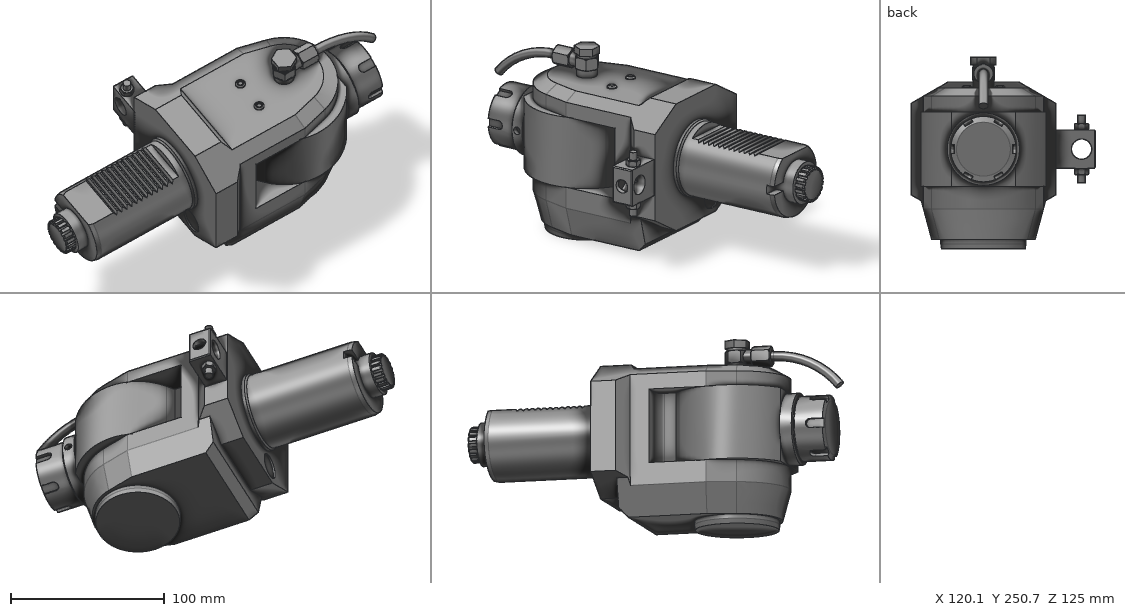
import cadquery as cq
import math


overall_length = 250.7

flange_half_width = 47.1
flange_half_height = 43.9
flange_flat_half_width = 22.8
bevel_angle = 30.0
flange_thickness = 16.5
flange_flare_end = 24.8
flange_top_thickness = 20.5
plug_x = 18.5
plug_z = -32.0
plug_radius = 8.5
plug_recess = 1.3

body_half_width = 39.0
body_top = 39.9
body_bottom = -59.0
head_y = 86.0
head_radius = 35.0
head_taper = 15.0
lower_taper = 15.0
lower_start = -38.9
lower_rear = 15.8
lower_rear_chamfer = 6.0
strip_top = -33.3

band_radius = 40.9
band_half_height = 24.3
band_end_angle = 52.0
pocket_rear = 37.0
pocket_floor_end = 50.1
pocket_fillet = 5.5

cover_radius = 27.8
cover_bottom = -65.0
cover_chamfer_height = 3.3
cover_chamfer_width = 0.5

shank_radius = 25.0
shank_length = 78.5
shank_chamfer_length = 3.0
shank_chamfer_depth = 0.8
rim_radius = 26.0
rim_length = 3.5
rim_chamfer = 1.3
flat_height = 19.5
flat_start = 8.0
tooth_count = 12
tooth_pitch = 4.0
tooth_first = 14.0
tooth_depth = 1.5
tooth_half_width = 1.5
key_width = 6.0
key_depth = 5.5
boss_radius = 14.3
boss_length = 7.8
spline_radius = 11.8
spline_length = 6.8
spline_count = 18
spline_depth = 1.8
spline_gap = 1.8
spline_chamfer = 0.8

ring_radius = 23.5
ring_length = 8.0
ring_hole_radius = 2.5
ring_hole_depth = 3.8
neck_radius = 19.8
neck_length = 1.3
nut_radius = 21.3
nut_length = 20.0
nut_chamfer_length = 1.0
nut_chamfer_depth = 3.8
nut_slot_count = 6
nut_slot_width = 6.0
nut_slot_length = 12.3
nut_slot_depth = 2.5

hexagon_chamfer = 0.8

fitting_radius = 6.8
cap_top = 60.0
cap_height = 5.0
cap_corner_radius = 8.3
block_bottom = 44.9
block_height = 8.3
hose_z = 49.1
stem_radius = 5.0
hose_nut_start = 96.8
hose_nut_length = 12.5
hose_nut_corner_radius = 7.0
hose_radius = 3.0
hose_lead = 2.0
hose_bend_angle = 51.0

screw_x = 10.8
screw_y = 59.0
screw_radius = 3.3
screw_height = 1.5
screw_chamfer = 1.0
screw_socket_radius = 1.8
screw_socket_depth = 1.3

clamp_outer_x = -73.0
clamp_half_height = 12.5
clamp_rear = 0.8
clamp_front = 16.0
clamp_chamfer = 0.8
clamp_bore_x = -64.0
clamp_bore_radius = 6.5
clamp_port_y = 8.5
clamp_port_radius = 4.5
clamp_pin_hole_radius = 1.8
clamp_pin_hole_depth = 2.5
stud_y = 5.8
stud_radius = 2.5
stud_tip = 22.0
stud_nut_height = 4.3
stud_nut_corner_radius = 4.8

flange_bevel = (flange_half_width - flange_flat_half_width) * math.tan(math.radians(bevel_angle))
flange_shoulder = flange_half_height - flange_bevel
bevel_start = flange_shoulder + (flange_half_width - body_half_width) * math.tan(math.radians(bevel_angle))
head_front = head_y + head_radius
hose_end = overall_length - shank_length - boss_length - spline_length
nut_front = head_front + ring_length + neck_length + nut_length


def along_y(radius, start, length):
    """Cylinder on the main axis, running from start toward +Y (toward -Y when length is negative)."""
    return cq.Workplane("XZ", origin=(0, start, 0)).circle(radius).extrude(-length)


def box(x_range, y_range, z_range):
    """Axis-aligned block between (low, high) limits along X, Y and Z."""
    size = [high - low for low, high in (x_range, y_range, z_range)]
    return cq.Workplane("XY").box(*size, centered=False).translate((x_range[0], y_range[0], z_range[0]))


def hexagon(workplane, corner_radius, length):
    """Hexagonal prism with two corners on the local X axis of the workplane."""
    return workplane.polygon(6, 2 * corner_radius).extrude(length)


def chamfered_hexagon(workplane, corner_radius, length):
    """Hexagonal prism whose corners are turned off conically at both ends, as on a nut."""
    turned = workplane.circle(corner_radius).extrude(length).edges().chamfer(hexagon_chamfer)
    return hexagon(workplane, corner_radius, length).intersect(turned)


def flare_limit():
    """Plan outline that narrows from the flange to the housing at 45 degrees."""
    points = [
        (flange_half_width, 0),
        (flange_half_width, flange_flare_end - (flange_half_width - body_half_width)),
        (body_half_width, flange_flare_end),
    ]
    mirrored = [(-x, y) for x, y in reversed(points)]
    height = 2 * abs(body_bottom)
    return cq.Workplane("XY", origin=(0, 0, body_bottom)).polyline(points + mirrored).close().extrude(height)


def make_flange():
    outline = [
        (flange_half_width, -flange_shoulder),
        (flange_half_width, flange_shoulder),
        (flange_flat_half_width, flange_half_height),
        (-flange_flat_half_width, flange_half_height),
        (-flange_half_width, flange_shoulder),
        (-flange_half_width, -flange_shoulder),
        (-flange_flat_half_width, -flange_half_height),
        (flange_flat_half_width, -flange_half_height),
    ]
    flange = cq.Workplane("XZ").polyline(outline).close().extrude(-flange_flare_end)
    top_drop = flange_half_height - body_top
    top_profile = [
        (0, -flange_half_height),
        (0, flange_half_height),
        (flange_top_thickness, flange_half_height),
        (flange_top_thickness + top_drop, body_top),
        (flange_top_thickness + top_drop, -flange_half_height),
    ]
    top_limit = cq.Workplane("YZ").polyline(top_profile).close().extrude(flange_half_width, both=True)
    plug = along_y(plug_radius, 0, plug_recess).translate((plug_x, 0, plug_z))
    return flange.intersect(flare_limit()).intersect(top_limit).cut(plug)


def body_outline(workplane):
    """Plan outline of the housing: straight sides, 15 degree cheeks and a round head tangent to them."""
    taper = math.radians(head_taper)
    tangent_x = head_radius * math.cos(taper)
    tangent_y = head_y + head_radius * math.sin(taper)
    cheek_y = tangent_y - (body_half_width - tangent_x) / math.tan(taper)
    overrun = -flange_thickness
    return (
        workplane.moveTo(body_half_width, overrun)
        .lineTo(body_half_width, cheek_y)
        .lineTo(tangent_x, tangent_y)
        .threePointArc((0, head_front), (-tangent_x, tangent_y))
        .lineTo(-body_half_width, cheek_y)
        .lineTo(-body_half_width, overrun)
        .close()
    )


def make_body():
    middle = body_outline(cq.Workplane("XY", origin=(0, 0, lower_start))).extrude(bevel_start - lower_start)
    top = body_outline(cq.Workplane("XY", origin=(0, 0, bevel_start))).extrude(
        body_top - bevel_start, taper=90 - bevel_angle
    )
    facing_down = cq.Workplane("XY", origin=(0, 0, lower_start)).transformed(rotate=(0, 180, 0))
    bottom = body_outline(facing_down).extrude(lower_start - body_bottom, taper=lower_taper)
    body = middle.union(top).union(bottom)

    slope = math.tan(math.radians(lower_taper))
    strip_half_top = body_half_width + (strip_top - lower_start) * slope
    strip_half_bottom = body_half_width - (lower_start - body_bottom) * slope
    strip_outline = [
        (strip_half_top, strip_top),
        (-strip_half_top, strip_top),
        (-strip_half_bottom, body_bottom),
        (strip_half_bottom, body_bottom),
    ]
    strip = cq.Workplane("XZ").polyline(strip_outline).close().extrude(-flange_flare_end)
    body = body.union(strip.intersect(flare_limit()))

    side_profile = [
        (lower_rear, body_top),
        (lower_rear, body_bottom + lower_rear_chamfer),
        (lower_rear + lower_rear_chamfer, body_bottom),
        (head_front, body_bottom),
        (head_front, body_top),
    ]
    return body.intersect(
        cq.Workplane("YZ").polyline(side_profile).close().extrude(flange_half_width, both=True)
    )


def make_side_pocket():
    """Space behind the drum band on the +X side, scooped out of the side wall."""
    angle = math.radians(band_end_angle)
    outside = band_radius + pocket_fillet
    band_end_x = band_radius * math.cos(angle)
    band_end_y = head_y - band_radius * math.sin(angle)
    floor_x = band_end_x - (band_end_y - pocket_floor_end) * math.tan(angle)
    return (
        cq.Workplane("XY", origin=(0, 0, -band_half_height))
        .moveTo(band_radius, head_y)
        .threePointArc(
            (band_radius * math.cos(angle / 2), head_y - band_radius * math.sin(angle / 2)),
            (band_end_x, band_end_y),
        )
        .lineTo(floor_x, pocket_floor_end)
        .lineTo(floor_x, pocket_rear + pocket_fillet)
        .radiusArc((floor_x + pocket_fillet, pocket_rear), -pocket_fillet)
        .lineTo(outside, pocket_rear)
        .lineTo(outside, head_y)
        .close()
        .extrude(2 * band_half_height)
    )


def make_band():
    drum = cq.Workplane("XY", origin=(0, head_y, 0)).circle(band_radius).extrude(band_half_height, both=True)
    heights = (-band_half_height, band_half_height)
    return drum.intersect(box((-band_radius, band_radius), (head_y - band_radius, head_front), heights))


def make_cover():
    straight_bottom = cover_bottom + cover_chamfer_height
    half_section = [
        (0, body_bottom),
        (cover_radius, body_bottom),
        (cover_radius, straight_bottom),
        (cover_radius - cover_chamfer_width, cover_bottom),
        (0, cover_bottom),
    ]
    cover = cq.Workplane("XZ").polyline(half_section).close().revolve(360, (0, 0, 0), (0, 1, 0))
    return cover.translate((0, head_y, 0))


def make_shank():
    half_section = [
        (0, 0),
        (rim_radius, 0),
        (rim_radius, rim_chamfer - rim_length),
        (shank_radius, -rim_length),
        (shank_radius, shank_chamfer_length - shank_length),
        (shank_radius - shank_chamfer_depth, -shank_length),
        (0, -shank_length),
    ]
    shank = cq.Workplane("XY").polyline(half_section).close().revolve(360, (0, 0, 0), (0, 1, 0))
    shank = shank.cut(
        box((-shank_radius, shank_radius), (-shank_length, -flat_start), (flat_height, shank_radius))
    )
    for index in range(tooth_count):
        y = -tooth_first - index * tooth_pitch
        groove = [
            (y - tooth_half_width, flat_height),
            (y, flat_height - tooth_depth),
            (y + tooth_half_width, flat_height),
        ]
        shank = shank.cut(cq.Workplane("YZ").polyline(groove).close().extrude(shank_radius, both=True))
    shank = shank.cut(
        box((-shank_radius, 0), (-shank_length, key_depth - shank_length), (-key_width / 2, key_width / 2))
    )
    boss = along_y(boss_radius, key_depth - shank_length, -key_depth - boss_length)
    return shank.union(boss).union(make_spline())


def make_spline():
    start = -shank_length - boss_length
    spline = along_y(spline_radius, start, -spline_length).faces("<Y").chamfer(spline_chamfer)
    step = 360 / spline_count
    gap = box(
        (spline_radius - spline_depth, spline_radius + spline_depth),
        (start - spline_length, start),
        (-spline_gap / 2, spline_gap / 2),
    )
    for index in range(spline_count):
        spline = spline.cut(gap.rotate((0, 0, 0), (0, 1, 0), index * step))
    return spline


def make_collet_nut():
    neck_start = head_front + ring_length
    nut_start = neck_start + neck_length
    ring = along_y(ring_radius, head_front, ring_length)
    ring_hole = (
        cq.Workplane("YZ", origin=(-ring_radius, head_front + ring_length / 2, 0))
        .circle(ring_hole_radius)
        .extrude(ring_hole_depth)
    )
    half_section = [
        (0, nut_start),
        (nut_radius, nut_start),
        (nut_radius, nut_front - nut_chamfer_length),
        (nut_radius - nut_chamfer_depth, nut_front),
        (0, nut_front),
    ]
    nut = cq.Workplane("XY").polyline(half_section).close().revolve(360, (0, 0, 0), (0, 1, 0))
    round_center = nut_front - nut_slot_length + nut_slot_width / 2
    slot = (
        cq.Workplane("YZ", origin=(nut_radius - nut_slot_depth, 0, 0))
        .moveTo(nut_front, nut_slot_width / 2)
        .lineTo(round_center, nut_slot_width / 2)
        .threePointArc((nut_front - nut_slot_length, 0), (round_center, -nut_slot_width / 2))
        .lineTo(nut_front, -nut_slot_width / 2)
        .close()
        .extrude(2 * nut_slot_depth)
    )
    for index in range(nut_slot_count):
        nut = nut.cut(slot.rotate((0, 0, 0), (0, 1, 0), index * 360 / nut_slot_count))
    return ring.cut(ring_hole).union(along_y(neck_radius, neck_start, neck_length)).union(nut)


def make_fitting():
    """Upright banjo fitting with a hose leaving toward +Y and bending down in front of the nut."""
    post = cq.Workplane("XY", origin=(0, head_y, body_top)).circle(fitting_radius).extrude(cap_top - body_top)
    cap = hexagon(cq.Workplane("XY", origin=(0, head_y, cap_top)), cap_corner_radius, -cap_height)
    block_plane = cq.Workplane("XY", origin=(0, head_y, block_bottom)).transformed(rotate=(0, 0, 90))
    block = chamfered_hexagon(block_plane, cap_corner_radius, block_height)
    stem = along_y(stem_radius, head_y, hose_nut_start - head_y).translate((0, 0, hose_z))
    nut_plane = cq.Workplane("XZ", origin=(0, hose_nut_start, hose_z)).transformed(rotate=(0, 0, 90))
    hose_nut = chamfered_hexagon(nut_plane, hose_nut_corner_radius, -hose_nut_length)

    bend_start = hose_nut_start + hose_nut_length + hose_lead
    bend = math.radians(hose_bend_angle)
    bend_run = hose_end - hose_radius * math.sin(bend) - bend_start
    bend_radius = bend_run / math.sin(bend)

    def bend_point(angle):
        return bend_start + bend_radius * math.sin(angle), hose_z - bend_radius * (1 - math.cos(angle))

    path = (
        cq.Workplane("YZ")
        .moveTo(hose_nut_start, hose_z)
        .lineTo(bend_start, hose_z)
        .threePointArc(bend_point(bend / 2), bend_point(bend))
    )
    hose = cq.Workplane("XZ", origin=(0, hose_nut_start, hose_z)).circle(hose_radius).sweep(path)
    return post.union(cap).union(block).union(stem).union(hose_nut).union(hose)


def make_top_screws():
    base = cq.Workplane("XY", origin=(0, screw_y, body_top)).pushPoints([(-screw_x, 0), (screw_x, 0)])
    heads = base.circle(screw_radius).extrude(screw_height).faces(">Z").chamfer(screw_chamfer)
    sockets = base.circle(screw_socket_radius).extrude(screw_height)
    return heads.cut(sockets.translate((0, 0, screw_height - screw_socket_depth)))


def make_clamp():
    heights = (-clamp_half_height, clamp_half_height)
    block = box((clamp_outer_x, -flange_half_width), (clamp_rear, clamp_front), heights)
    block = block.faces("<X").chamfer(clamp_chamfer)
    bore = along_y(clamp_bore_radius, clamp_rear, clamp_front - clamp_rear).translate((clamp_bore_x, 0, 0))
    port_plane = cq.Workplane("YZ", origin=(clamp_outer_x, clamp_port_y, 0))
    port = port_plane.circle(clamp_port_radius).extrude(clamp_bore_x - clamp_outer_x)
    pin_hole_end = clamp_bore_x + clamp_bore_radius + clamp_pin_hole_depth
    pin_hole = port_plane.circle(clamp_pin_hole_radius).extrude(pin_hole_end - clamp_outer_x)
    stud_plane = cq.Workplane("XY", origin=(clamp_bore_x, stud_y, clamp_half_height))
    stud = stud_plane.circle(stud_radius).extrude(stud_tip - clamp_half_height)
    stud = stud.union(chamfered_hexagon(stud_plane, stud_nut_corner_radius, stud_nut_height))
    return block.cut(bore).cut(port).cut(pin_hole).union(stud).union(stud.mirror("XY"))


pocket = make_side_pocket()
housing = make_body().union(make_flange())
housing = housing.cut(pocket).cut(pocket.mirror("YZ"))

result = housing.union(make_band())
for part in (make_cover(), make_shank(), make_collet_nut(), make_fitting(), make_top_screws(), make_clamp()):
    result = result.union(part)